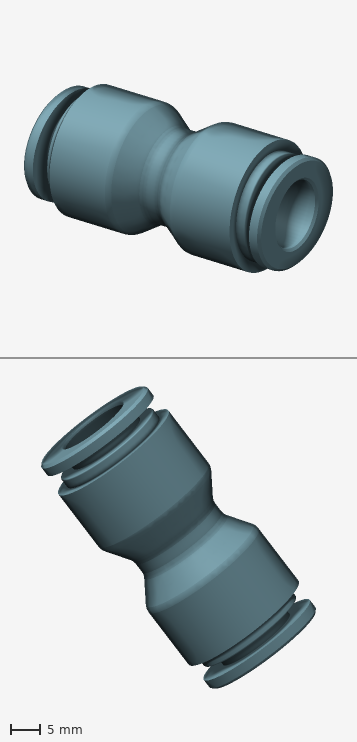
import cadquery as cq

overall_length = 48.8
half_length = overall_length / 2

bore_diameter = 12.2
neck_diameter = 14.2
waist_diameter = 17.0
sleeve_diameter = 19.6
housing_diameter = 23.5

flange_width = 22.65
flange_height = sleeve_diameter
flange_thickness = 2.15
flange_chamfer = 0.5
bore_chamfer = 0.45
neck_fillet = 0.15

sleeve_fillet = 0.25

sleeve_start = 3.95
housing_start = 5.85
cone_start = 17.85
cone_end = 22.85

cone_blend_radius = 2.0
web_thickness = 1.95

flange_back_x = flange_thickness - half_length
sleeve_x = sleeve_start - half_length
housing_x = housing_start - half_length
cone_start_x = cone_start - half_length
cone_end_x = cone_end - half_length

selection_margin = 0.05


def cylinder(diameter, start_x, end_x):
    """Solid cylinder on the X axis between two positions."""
    plane = cq.Workplane("YZ", origin=(start_x, 0, 0))
    return plane.circle(diameter / 2).extrude(end_x - start_x)


def edges_between(start_x, end_x):
    """Selector for edges whose centre lies between two X positions, ends included."""
    return cq.selectors.BoxSelector(
        (start_x - selection_margin, -housing_diameter, -housing_diameter),
        (end_x + selection_margin, housing_diameter, housing_diameter),
    )


def make_housing():
    """Round barrel with a coned waist and a blind bore from each end."""
    outer_radius = housing_diameter / 2
    waist_radius = waist_diameter / 2
    barrel = (
        cq.Workplane("XY")
        .moveTo(housing_x, 0)
        .lineTo(housing_x, outer_radius)
        .lineTo(cone_start_x, outer_radius)
        .lineTo(cone_end_x, waist_radius)
        .lineTo(-cone_end_x, waist_radius)
        .lineTo(-cone_start_x, outer_radius)
        .lineTo(-housing_x, outer_radius)
        .lineTo(-housing_x, 0)
        .close()
        .revolve(360, (0, 0, 0), (1, 0, 0))
    )
    cone_edges = edges_between(cone_start_x, -cone_start_x)
    barrel = barrel.edges("%CIRCLE").edges(cone_edges).fillet(cone_blend_radius)
    bore = cylinder(bore_diameter, housing_x, -web_thickness / 2)
    return barrel.cut(bore).cut(bore.mirror("YZ"))


def make_sleeve():
    """Plain ring seated against the -X face of the housing."""
    ring = cylinder(sleeve_diameter, sleeve_x, housing_x)
    ring = ring.faces("<X").edges().fillet(sleeve_fillet)
    return ring.cut(cylinder(bore_diameter, sleeve_x, housing_x))


def make_collet():
    """Elliptical flange on a round neck, seated against the -X face of the sleeve."""
    flange = (
        cq.Workplane("YZ", origin=(-half_length, 0, 0))
        .ellipse(flange_width / 2, flange_height / 2)
        .extrude(flange_thickness)
        .faces("<X")
        .chamfer(flange_chamfer)
    )
    neck = cylinder(neck_diameter, flange_back_x, sleeve_x)
    collet = flange.union(neck)
    neck_root = edges_between(flange_back_x, flange_back_x)
    collet = collet.edges("%CIRCLE").edges(neck_root).fillet(neck_fillet)
    collet = collet.cut(cylinder(bore_diameter, -half_length, sleeve_x))
    return collet.faces("<X").edges("%CIRCLE").chamfer(bore_chamfer)


housing = make_housing()

end_solids = []
for end_part in (make_sleeve(), make_collet()):
    end_solids += [end_part.val(), end_part.mirror("YZ").val()]

result = cq.Compound.makeCompound([housing.val(), *end_solids])